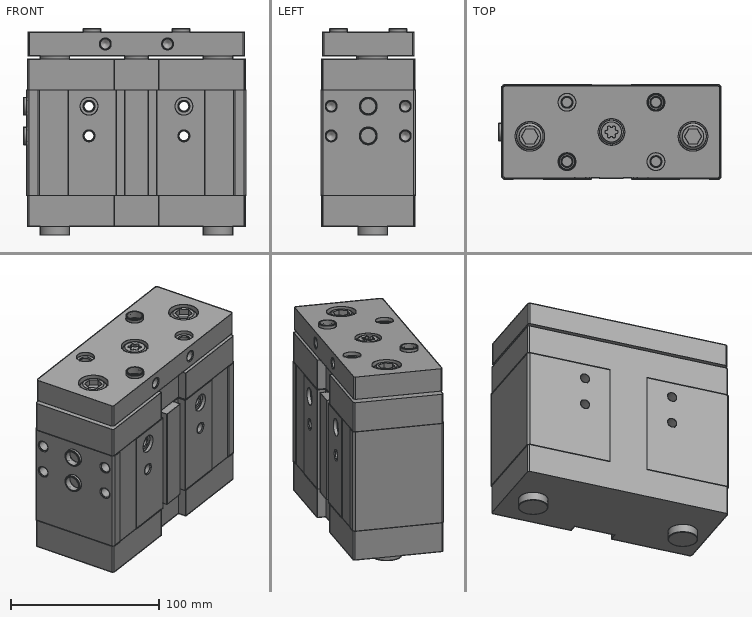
import cadquery as cq
import math

BLOCK_LENGTH = 148.0
BLOCK_WIDTH = 64.0
BLOCK_HEIGHT = 71.2
CAP_HEIGHT = 20.8
CAP_INSET = 0.5
BLOCK_CHAMFER = 1.5
CAP_CHAMFER = 1.0
HOUSING_HEIGHT = BLOCK_HEIGHT + 2 * CAP_HEIGHT

CHANNEL_DEPTH = 6.0
CAP_CHANNEL_WIDTH = 29.6
BLOCK_CHANNEL_WIDTH = 27.2
RIB_WIDTH = 16.2
CHANNEL_EDGE_CHAMFER = 0.3
BACK_GROOVE_DEPTH = CAP_INSET

BAND_INNER_X = 45.8
BAND_OUTER_X = 66.5
BAND_DEPTH = 0.4
BAND_INNER_SLOPE = 0.5
BAND_OUTER_SLOPE = 1.2

PLATE_LENGTH = 146.0
PLATE_WIDTH = 62.0
PLATE_HEIGHT = 16.0
PLATE_CHAMFER = 1.0
PLATE_GAP = 2.2
PLATE_BOTTOM = HOUSING_HEIGHT + PLATE_GAP
PLATE_TOP = PLATE_BOTTOM + PLATE_HEIGHT

GUIDE_X = 55.0
GUIDE_Y = -3.0
GUIDE_DIAMETER = 20.0
GUIDE_OVERHANG = 6.0
GUIDE_END_CHAMFER = 0.3
GUIDE_SHANK_DIAMETER = 12.0
GUIDE_HEAD_DIAMETER = 18.0
GUIDE_HEAD_CHAMFER = 1.8
GUIDE_COUNTERBORE_DIAMETER = 20.0
GUIDE_HEAD_RECESS = 0.8
GUIDE_COUNTERBORE_DEPTH = 12.0
HEX_ACROSS_FLATS = 10.0
HEX_SOCKET_DEPTH = 4.0

PISTON_ROD_DIAMETER = 16.0
PISTON_ROD_REACH = CAP_HEIGHT
PISTON_HEAD_DIAMETER = 16.0
PISTON_HEAD_CHAMFER = 1.2
PISTON_HEAD_RECESS = 0.5
PISTON_COUNTERBORE_DIAMETER = 18.0
PISTON_COUNTERBORE_DEPTH = 10.0
LOBE_OUTER_DIAMETER = 8.8
LOBE_INNER_DIAMETER = 6.35
LOBE_WIDTH = 2.2
LOBE_COUNT = 6
LOBED_SOCKET_DEPTH = 2.0

TAP_DIAMETER = 6.8
TAP_MOUTH_DIAMETER = 8.0
TAP_DEPTH = 12.0
DRILL_POINT_ANGLE = 118.0
THROUGH_DIAMETER = 6.6

SLEEVE_DIAMETER = 12.0
SLEEVE_BORE = 10.2
SLEEVE_PROTRUSION = 2.3
SLEEVE_SEAT_DEPTH = 2.5
SLEEVE_CHAMFER = 0.3

LOWER_HOLE_Z = 61.0
UPPER_HOLE_Z = LOWER_HOLE_Z + 20.0
FRONT_HOLE_X = 32.0
SIDE_HOLE_Y = 25.0
PLATE_HOLE_X = 30.0
PLATE_HOLE_Y = 20.0
PLATE_FRONT_HOLE_X = 21.0

UP = cq.Vector(0, 0, 1)
DOWN = cq.Vector(0, 0, -1)
FORWARD = cq.Vector(1, 0, 0)
LEFTWARD = cq.Vector(-1, 0, 0)
INWARD = cq.Vector(0, 1, 0)


def upright_box(length, width, height, bottom, chamfer):
    """A box centred on the Z axis with its four upright edges chamfered."""
    box = cq.Workplane("XY", origin=(0, 0, bottom)).rect(length, width).extrude(height)
    return box.edges("|Z").chamfer(chamfer)


def upright_prism(points, bottom, height):
    """Solid with the given outline in X and Y, standing on the given level."""
    return cq.Workplane("XY", origin=(0, 0, bottom)).polyline(points).close().extrude(height)


def make_channel(width, front, bottom, height):
    """Material removed for the channel, wider at its chamfered front edges."""
    half = width / 2
    mouth = half + CHANNEL_EDGE_CHAMFER
    floor = front + CHANNEL_DEPTH
    edge = front + CHANNEL_EDGE_CHAMFER
    points = [(-mouth, front), (-half, edge), (-half, floor), (half, floor), (half, edge), (mouth, front)]
    return upright_prism(points, bottom, height)


def cylinder(point, direction, diameter, length):
    return cq.Workplane(obj=cq.Solid.makeCylinder(diameter / 2, length, cq.Vector(*point), direction))


def cone(point, direction, start_diameter, end_diameter, length):
    solid = cq.Solid.makeCone(start_diameter / 2, end_diameter / 2, length, cq.Vector(*point), direction)
    return cq.Workplane(obj=solid)


def mouth_chamfer(point, direction, diameter):
    """Cone that widens a hole to the mouth diameter of the tapped holes."""
    return cone(point, direction, TAP_MOUTH_DIAMETER, diameter, (TAP_MOUTH_DIAMETER - diameter) / 2)


def tapped_hole(point, direction):
    """Blind hole with a chamfered mouth and a drill point."""
    point_length = TAP_DIAMETER / 2 / math.tan(math.radians(DRILL_POINT_ANGLE / 2))
    bottom = cq.Vector(*point) + direction * TAP_DEPTH
    hole = cylinder(point, direction, TAP_DIAMETER, TAP_DEPTH)
    hole = hole.union(cone(bottom.toTuple(), direction, TAP_DIAMETER, 0, point_length))
    return hole.union(mouth_chamfer(point, direction, TAP_DIAMETER))


def through_hole(point, direction, diameter, length, seat_depth=0):
    """Through hole with a chamfered mouth at the bottom of an optional sleeve seat."""
    mouth = cq.Vector(*point) + direction * seat_depth
    hole = cylinder(point, direction, diameter, length)
    hole = hole.union(mouth_chamfer(mouth.toTuple(), direction, diameter))
    if seat_depth:
        hole = hole.union(cylinder(point, direction, SLEEVE_DIAMETER, seat_depth))
    return hole


def make_cap(bottom):
    width = BLOCK_WIDTH - 2 * CAP_INSET
    cap = upright_box(BLOCK_LENGTH - 2 * CAP_INSET, width, CAP_HEIGHT, bottom, CAP_CHAMFER)
    return cap.cut(make_channel(CAP_CHANNEL_WIDTH, -width / 2, bottom, CAP_HEIGHT))


def make_rib(front, floor):
    """Rib in the middle of the channel, with chamfered front edges."""
    half = RIB_WIDTH / 2
    tip = half - CHANNEL_EDGE_CHAMFER
    edge = front + CHANNEL_EDGE_CHAMFER
    points = [(-half, floor), (-half, edge), (-tip, front), (tip, front), (half, edge), (half, floor)]
    return upright_prism(points, CAP_HEIGHT, BLOCK_HEIGHT)


def make_band(side, front):
    """Material removed for the shallow sloped-edge band on one side (-1 left, 1 right)."""
    floor = front + BAND_DEPTH
    points = [
        (side * BAND_INNER_X, front),
        (side * (BAND_INNER_X + BAND_INNER_SLOPE), floor),
        (side * (BAND_OUTER_X - BAND_OUTER_SLOPE), floor),
        (side * BAND_OUTER_X, front),
    ]
    return upright_prism(points, CAP_HEIGHT, BLOCK_HEIGHT)


def make_block():
    front = -BLOCK_WIDTH / 2
    block = upright_box(BLOCK_LENGTH, BLOCK_WIDTH, BLOCK_HEIGHT, CAP_HEIGHT, BLOCK_CHAMFER)
    block = block.cut(make_channel(BLOCK_CHANNEL_WIDTH, front, CAP_HEIGHT, BLOCK_HEIGHT))
    block = block.union(make_rib(front + CAP_INSET, front + CHANNEL_DEPTH))
    for side in (-1, 1):
        block = block.cut(make_band(side, front))
    back_groove = (
        cq.Workplane("XY", origin=(0, BLOCK_WIDTH / 2, CAP_HEIGHT))
        .rect(BLOCK_CHANNEL_WIDTH, 2 * BACK_GROOVE_DEPTH)
        .extrude(BLOCK_HEIGHT)
    )
    return block.cut(back_groove)


def make_housing():
    half_length = BLOCK_LENGTH / 2
    half_width = BLOCK_WIDTH / 2
    housing = make_block().union(make_cap(0)).union(make_cap(CAP_HEIGHT + BLOCK_HEIGHT))

    for x in (-GUIDE_X, GUIDE_X):
        housing = housing.cut(cylinder((x, GUIDE_Y, 0), UP, GUIDE_DIAMETER, HOUSING_HEIGHT))
    housing = housing.cut(cylinder((0, 0, HOUSING_HEIGHT), DOWN, PISTON_ROD_DIAMETER, PISTON_ROD_REACH))

    for x in (-FRONT_HOLE_X, FRONT_HOLE_X):
        for z, seat_depth in ((LOWER_HOLE_Z, 0), (UPPER_HOLE_Z, SLEEVE_SEAT_DEPTH)):
            housing = housing.cut(
                through_hole((x, -half_width, z), INWARD, THROUGH_DIAMETER, BLOCK_WIDTH, seat_depth)
            )

    for z in (LOWER_HOLE_Z, UPPER_HOLE_Z):
        for y in (-SIDE_HOLE_Y, SIDE_HOLE_Y):
            housing = housing.cut(tapped_hole((-half_length, y, z), FORWARD))
        housing = housing.cut(cylinder((-half_length, 0, z), FORWARD, SLEEVE_DIAMETER, SLEEVE_SEAT_DEPTH))
    return housing


def screw_head(x, y, diameter, chamfer, recess, counterbore_depth):
    """Chamfered round screw head standing on the floor of its counterbore."""
    height = counterbore_depth - recess
    head = cylinder((x, y, PLATE_TOP - counterbore_depth), UP, diameter, height)
    return head.faces(">Z").edges().chamfer(chamfer)


def make_guide_rod(x):
    """Rod with the socket-head screw that holds it to the plate."""
    counterbore_floor = PLATE_TOP - GUIDE_COUNTERBORE_DEPTH
    rod = cylinder((x, GUIDE_Y, -GUIDE_OVERHANG), UP, GUIDE_DIAMETER, PLATE_BOTTOM + GUIDE_OVERHANG)
    rod = rod.faces("<Z").edges().chamfer(GUIDE_END_CHAMFER)
    shank = cylinder((x, GUIDE_Y, PLATE_BOTTOM), UP, GUIDE_SHANK_DIAMETER, counterbore_floor - PLATE_BOTTOM)
    head = screw_head(
        x, GUIDE_Y, GUIDE_HEAD_DIAMETER, GUIDE_HEAD_CHAMFER, GUIDE_HEAD_RECESS, GUIDE_COUNTERBORE_DEPTH
    )
    socket = (
        cq.Workplane("XY", origin=(x, GUIDE_Y, PLATE_TOP - GUIDE_HEAD_RECESS))
        .polygon(6, HEX_ACROSS_FLATS / math.cos(math.pi / 6))
        .extrude(-HEX_SOCKET_DEPTH)
    )
    return rod.union(shank).union(head).cut(socket)


def make_lobed_socket():
    """Six-lobed drive recess in the piston screw."""
    plane = cq.Workplane("XY", origin=(0, 0, PLATE_TOP - PISTON_HEAD_RECESS))
    socket = plane.circle(LOBE_INNER_DIAMETER / 2).extrude(-LOBED_SOCKET_DEPTH)
    for index in range(LOBE_COUNT // 2):
        angle = index * 360 / LOBE_COUNT
        opposite_lobes = plane.slot2D(LOBE_OUTER_DIAMETER, LOBE_WIDTH, angle).extrude(-LOBED_SOCKET_DEPTH)
        socket = socket.union(opposite_lobes)
    return socket


def make_plate():
    """Moving plate in one piece with the piston rod and its screw head."""
    plate = upright_box(PLATE_LENGTH, PLATE_WIDTH, PLATE_HEIGHT, PLATE_BOTTOM, PLATE_CHAMFER)

    for x in (-GUIDE_X, GUIDE_X):
        plate = plate.cut(cylinder((x, GUIDE_Y, PLATE_BOTTOM), UP, GUIDE_SHANK_DIAMETER, PLATE_HEIGHT))
        plate = plate.cut(
            cylinder((x, GUIDE_Y, PLATE_TOP), DOWN, GUIDE_COUNTERBORE_DIAMETER, GUIDE_COUNTERBORE_DEPTH)
        )

    plate = plate.cut(
        cylinder((0, 0, PLATE_TOP), DOWN, PISTON_COUNTERBORE_DIAMETER, PISTON_COUNTERBORE_DEPTH)
    )
    head = screw_head(
        0, 0, PISTON_HEAD_DIAMETER, PISTON_HEAD_CHAMFER, PISTON_HEAD_RECESS, PISTON_COUNTERBORE_DEPTH
    )
    plate = plate.union(head).cut(make_lobed_socket())
    rod = cylinder((0, 0, PLATE_BOTTOM), DOWN, PISTON_ROD_DIAMETER, PLATE_GAP + PISTON_ROD_REACH)
    plate = plate.union(rod)

    for x in (-PLATE_HOLE_X, PLATE_HOLE_X):
        for y in (-PLATE_HOLE_Y, PLATE_HOLE_Y):
            plate = plate.cut(
                through_hole((x, y, PLATE_TOP), DOWN, TAP_DIAMETER, PLATE_HEIGHT, SLEEVE_SEAT_DEPTH)
            )

    mid_height = PLATE_BOTTOM + PLATE_HEIGHT / 2
    for x in (-PLATE_FRONT_HOLE_X, PLATE_FRONT_HOLE_X):
        plate = plate.cut(tapped_hole((x, -PLATE_WIDTH / 2, mid_height), INWARD))
    return plate


def make_sleeve(mouth, outward):
    """Ring seated in a recess at the given mouth and standing out of it."""
    start = (cq.Vector(*mouth) - outward * SLEEVE_SEAT_DEPTH).toTuple()
    length = SLEEVE_SEAT_DEPTH + SLEEVE_PROTRUSION
    ring = cylinder(start, outward, SLEEVE_DIAMETER, length)
    ring = ring.faces(cq.selectors.DirectionMinMaxSelector(outward)).edges().chamfer(SLEEVE_CHAMFER)
    return ring.cut(cylinder(start, outward, SLEEVE_BORE, length))


housing = make_housing()
plate = make_plate()
guide_rods = [make_guide_rod(x) for x in (-GUIDE_X, GUIDE_X)]
plate_sleeves = [
    make_sleeve((side * PLATE_HOLE_X, side * PLATE_HOLE_Y, PLATE_TOP), UP) for side in (-1, 1)
]
port_sleeves = [make_sleeve((-BLOCK_LENGTH / 2, 0, z), LEFTWARD) for z in (LOWER_HOLE_Z, UPPER_HOLE_Z)]

result = cq.Compound.makeCompound(
    [
        housing.val(),
        plate.val(),
        *[rod.val() for rod in guide_rods],
        *[sleeve.val() for sleeve in plate_sleeves],
        *[sleeve.val() for sleeve in port_sleeves],
    ]
)